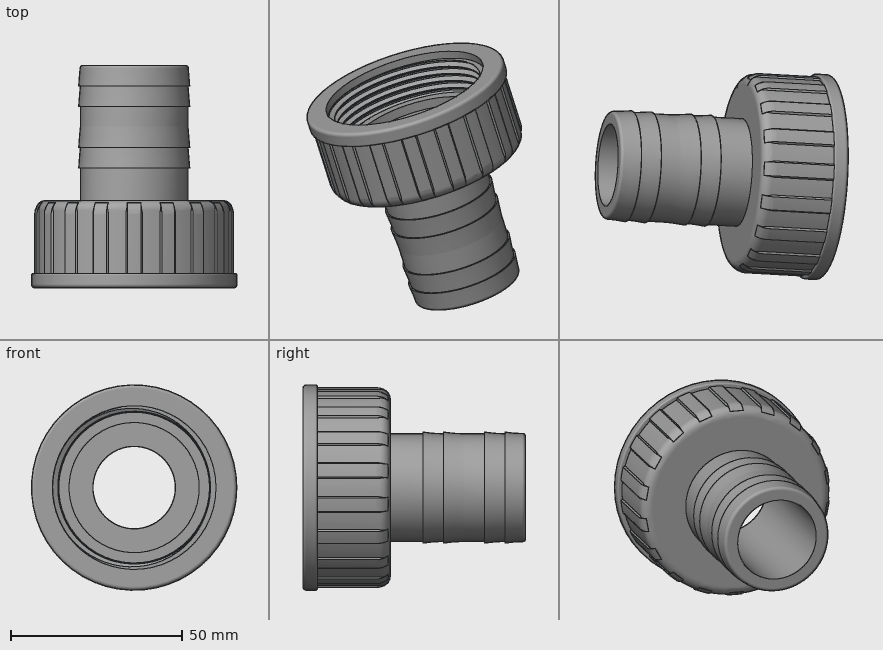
import cadquery as cq
import math


total_length = 65.0
bore_diameter = 24.0

hose_diameter = 31.5
barb_diameter = 32.5
barb_length = 6.0
barbs_per_group = 2
last_group_start = total_length - barbs_per_group * barb_length
first_group_start = last_group_start - (barbs_per_group + 1) * barb_length
barb_group_starts = [first_group_start, last_group_start]
tip_fillet = 0.9
flange_diameter = 44.0
flange_front = 12.4
seal_recess_diameter = 38.0
seal_recess_depth = 2.8

nut_length = 25.5
nut_back_wall = 4.0
flange_back = nut_length - nut_back_wall
nut_diameter = 57.4
nut_back_fillet = 2.8
collar_diameter = 60.0
collar_length = 4.2
collar_front_fillet = 1.0
collar_back_fillet = 0.5

entry_diameter = 47.8
entry_depth = 2.3
thread_crest_diameter = 44.6
thread_root_diameter = 47.6
thread_pitch = 2.309
thread_half_angle = 27.5
thread_root_width = 0.45
thread_start_angle = 180.0
groove_overlap = 0.3

rib_count = 18
rib_crest_radius = 29.2
rib_crest_width = 4.0
rib_side_slope = 0.75
rib_depth = 1.6
rib_bend_start = 21.5
rib_bend_radius = 4.65
rib_bend_angle = 47.5


def make_hose_tail():
    """Barbed tube with a flange that is recessed for a flat seal.

    Each barb is widest at the end nearest the nut.
    """
    hose_radius = hose_diameter / 2
    barb_radius = barb_diameter / 2
    recess_floor = flange_front + seal_recess_depth

    outline = (
        cq.Workplane("XY")
        .moveTo(bore_diameter / 2, recess_floor)
        .lineTo(seal_recess_diameter / 2, recess_floor)
        .lineTo(seal_recess_diameter / 2, flange_front)
        .lineTo(flange_diameter / 2, flange_front)
        .lineTo(flange_diameter / 2, flange_back)
        .lineTo(hose_radius, flange_back)
    )
    for group_start in barb_group_starts:
        outline = outline.lineTo(hose_radius, group_start)
        for index in range(barbs_per_group):
            barb_start = group_start + index * barb_length
            outline = outline.lineTo(barb_radius, barb_start)
            outline = outline.lineTo(hose_radius, barb_start + barb_length)
    outline = outline.lineTo(bore_diameter / 2, total_length).close()

    tail = outline.revolve(360, (0, 0, 0), (0, 1, 0))
    tip_edge = cq.selectors.RadiusNthSelector(-1)
    return tail.faces(">Y").edges(tip_edge).fillet(tip_fillet)


def make_nut_blank():
    """Solid turned nut: body with a rounded back, and a wider collar at the open end."""
    nut_radius = nut_diameter / 2
    collar_radius = collar_diameter / 2
    body = cq.Workplane("XZ").circle(nut_radius).extrude(-nut_length)
    body = body.faces(">Y").edges().fillet(nut_back_fillet)
    collar = cq.Workplane("XZ").circle(collar_radius).extrude(-collar_length)
    collar = collar.faces("<Y").edges().fillet(collar_front_fillet)
    collar = collar.faces(">Y").edges().fillet(collar_back_fillet)
    return body.union(collar)


def make_rib():
    """Grip rib at +Z: a bar with sloping flanks that bends over the rounded back of the nut."""
    rib_start = collar_length / 2
    bend_centre_z = rib_crest_radius - rib_bend_radius

    def bend_point(angle):
        """Point (Y, Z) on the bent crest line, at an angle from where the bend starts."""
        turn = math.radians(angle)
        return (
            rib_bend_start + rib_bend_radius * math.sin(turn),
            bend_centre_z + rib_bend_radius * math.cos(turn),
        )

    crest_line = (
        cq.Workplane("YZ")
        .moveTo(rib_start, rib_crest_radius)
        .lineTo(rib_bend_start, rib_crest_radius)
        .threePointArc(bend_point(rib_bend_angle / 2), bend_point(rib_bend_angle))
    )

    crest_half = rib_crest_width / 2
    corner_z = math.sqrt(rib_crest_radius**2 - crest_half**2)
    base_z = corner_z - rib_depth
    base_half = crest_half + rib_side_slope * rib_depth
    section = (
        cq.Workplane("XZ", origin=(0, rib_start, 0))
        .moveTo(-base_half, base_z)
        .lineTo(-crest_half, corner_z)
        .threePointArc((0, rib_crest_radius), (crest_half, corner_z))
        .lineTo(base_half, base_z)
        .close()
    )
    return section.sweep(crest_line)


def make_thread_groove():
    """Helical cutter around Y, one pitch longer than the thread at either end."""
    groove_start = entry_depth - thread_pitch
    groove_length = flange_front + thread_pitch - groove_start
    inner_radius = thread_crest_diameter / 2 - groove_overlap
    root_radius = thread_root_diameter / 2
    root_half = thread_root_width / 2
    flank_run = (root_radius - inner_radius) * math.tan(math.radians(thread_half_angle))
    inner_half = root_half + flank_run

    helix = cq.Wire.makeHelix(thread_pitch, groove_length, inner_radius)
    groove = (
        cq.Workplane("XZ")
        .moveTo(inner_radius, -inner_half)
        .lineTo(root_radius, -root_half)
        .lineTo(root_radius, root_half)
        .lineTo(inner_radius, inner_half)
        .close()
        .sweep(cq.Workplane(obj=helix), isFrenet=True)
    )
    groove = groove.rotate((0, 0, 0), (0, 0, 1), thread_start_angle)
    groove = groove.rotate((0, 0, 0), (1, 0, 0), -90)
    return groove.translate((0, groove_start, 0))


def make_union_nut():
    """Ribbed nut with an internal thread; it holds the flange of the hose tail."""
    nut = make_nut_blank()

    rib = make_rib()
    for index in range(rib_count):
        nut = nut.union(rib.rotate((0, 0, 0), (0, 1, 0), index * 360 / rib_count))

    crest_bore = cq.Workplane("XZ").circle(thread_crest_diameter / 2).extrude(-flange_back)
    entry = cq.Workplane("XZ").circle(entry_diameter / 2).extrude(-entry_depth)
    tail_hole = cq.Workplane("XZ").circle(hose_diameter / 2).extrude(-nut_length)
    nut = nut.cut(crest_bore).cut(entry).cut(tail_hole)
    return nut.cut(make_thread_groove())


hose_tail = make_hose_tail()
union_nut = make_union_nut()

result = cq.Compound.makeCompound([hose_tail.val(), *union_nut.vals()])